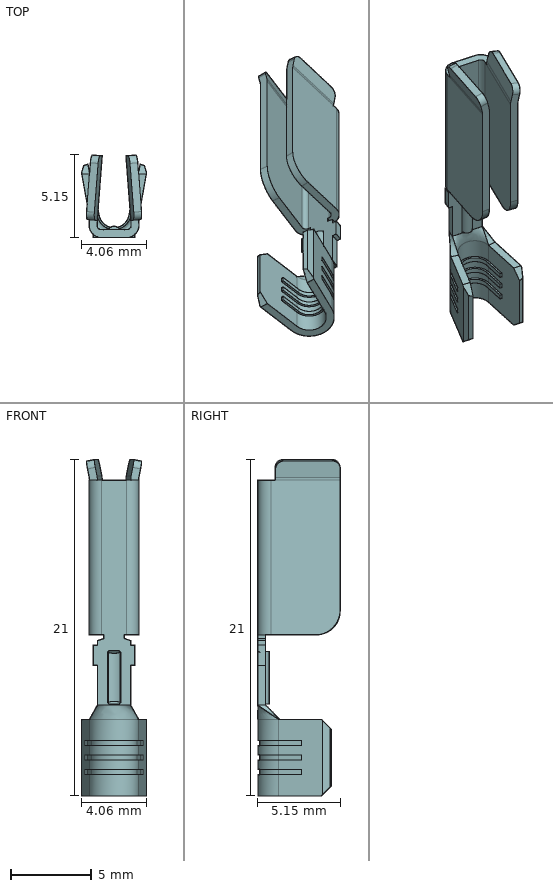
import cadquery as cq
import math


SHEET = 0.50
BIG = 10.0

TRANSITION_BOTTOM = 4.78
TRANSITION_TOP = 5.66
RECEPTACLE_BOTTOM = 10.03
RECEPTACLE_TOP = 19.67
TOTAL_HEIGHT = 20.95

BARREL_RADIUS = 1.56
BARREL_CENTER_Y = BARREL_RADIUS
WING_CORNER = (2.03, 4.04)
WING_TIP = (1.89, 4.49)
WING_TOP = (1.59, 4.59)
WING_CHAMFER = 0.63

SERRATION_DEPTH = 0.12
SERRATION_WIDTH = 0.32
SERRATION_FIRST_Z = 1.50
SERRATION_PITCH = 0.90
SERRATION_COUNT = 3
SERRATION_END_Y = 2.73

STRIP_HALF_WIDTH = 1.04
NECK_HALF_WIDTH = 0.65
NECK_NARROW_BOTTOM = 9.81
NECK_SHOULDER_Z = 9.68
EAR_HALF_WIDTH = 1.30
EAR_BOTTOM = 8.13
EAR_TOP = 9.39

BEAD_BOTTOM = 5.72
BEAD_TOP = 9.06
BEAD_HALF_WIDTH = 0.42
BEAD_FLOOR_HALF_WIDTH = 0.36
BEAD_WALL_DEPTH = 0.14
BEAD_DEPTH = 0.22
BEAD_END_SLOPE = 0.18
BEAD_CORNER = 0.12
BUMP_HALF_WIDTH = 0.36
BUMP_HEIGHT = 0.22
BUMP_TOP = 9.00

RECEPTACLE_HALF_WIDTH = 1.56
BEND_RADIUS = 0.78
BEND_CENTER_X = RECEPTACLE_HALF_WIDTH - BEND_RADIUS
WALL_LEAN = 4.4
WALL_END_Y = 5.09
WALL_CORNER_RADIUS = 1.50

TAB_FLARE = 11.2
TAB_BEND_RADIUS = 0.85
TAB_START_Y = 1.05
TAB_CORNER_RADIUS = 0.50


def barrel_flare():
    """Angle from upright of the wing face: tangent to the barrel, through the wing corner."""
    corner_x = WING_CORNER[0]
    corner_y = WING_CORNER[1] - BARREL_CENTER_Y
    corner_distance = math.hypot(corner_x, corner_y)
    return math.acos(BARREL_RADIUS / corner_distance) - math.atan2(corner_y, corner_x)


FLARE = barrel_flare()


def barrel_tangent(inset):
    """Point on the +X side where the round of the barrel, moved inward, meets its wing."""
    radius = BARREL_RADIUS - inset
    return radius * math.cos(FLARE), BARREL_CENTER_Y - radius * math.sin(FLARE)


def cup(inset, rim):
    """Filled cross-section of the barrel: a round bottom closed over the +X rim points."""
    x, y = barrel_tangent(inset)
    mirrored_rim = [(-px, py) for px, py in reversed(rim)]
    outline = cq.Workplane("XY").moveTo(-x, y).threePointArc((0, inset), (x, y))
    for point in rim + mirrored_rim:
        outline = outline.lineTo(*point)
    return outline.close()


def straight_rim(inset, rim_y):
    """Point at which the wing face, moved inward, reaches the height rim_y."""
    x, y = barrel_tangent(inset)
    return [(x + (rim_y - y) * math.tan(FLARE), rim_y)]


def barrel_band(outer_inset, inner_inset, rim_y, bottom, height):
    """U-shaped band between two offsets of the barrel's outer face."""
    outer = cup(outer_inset, straight_rim(outer_inset, rim_y)).extrude(height)
    inner = cup(inner_inset, straight_rim(inner_inset, rim_y)).extrude(height)
    return outer.cut(inner).translate((0, 0, bottom))


def make_barrel():
    outer = cup(0, [WING_CORNER, WING_TIP, WING_TOP]).extrude(TRANSITION_BOTTOM)
    inner = cup(SHEET, straight_rim(SHEET, BIG)).extrude(TRANSITION_BOTTOM)
    wing_end_y = WING_TOP[1]
    side_outline = (
        cq.Workplane("YZ")
        .rect(2 * wing_end_y, TRANSITION_BOTTOM)
        .extrude(BIG, both=True)
        .edges("|X")
        .chamfer(WING_CHAMFER)
        .translate((0, 0, TRANSITION_BOTTOM / 2))
    )
    barrel = outer.cut(inner).intersect(side_outline)
    for index in range(SERRATION_COUNT):
        bottom = SERRATION_FIRST_Z + index * SERRATION_PITCH - SERRATION_WIDTH / 2
        groove = barrel_band(0, SERRATION_DEPTH, SERRATION_END_Y, bottom, SERRATION_WIDTH)
        rib = barrel_band(SHEET, SHEET + SERRATION_DEPTH, SERRATION_END_Y, bottom, SERRATION_WIDTH)
        barrel = barrel.cut(groove).union(rib)
    return barrel


def make_transition():
    """Ruled blend from the round part of the barrel to the flat strip."""
    outer_x, outer_y = barrel_tangent(0)
    inner_x, inner_y = barrel_tangent(SHEET)
    return (
        cq.Workplane("XY", origin=(0, 0, TRANSITION_BOTTOM))
        .moveTo(-outer_x, outer_y)
        .threePointArc((0, 0), (outer_x, outer_y))
        .lineTo(inner_x, inner_y)
        .threePointArc((0, SHEET), (-inner_x, inner_y))
        .close()
        .workplane(offset=TRANSITION_TOP - TRANSITION_BOTTOM)
        .moveTo(-STRIP_HALF_WIDTH, 0)
        .lineTo(STRIP_HALF_WIDTH, 0)
        .lineTo(STRIP_HALF_WIDTH, SHEET)
        .lineTo(-STRIP_HALF_WIDTH, SHEET)
        .close()
        .loft(ruled=True)
    )


def make_neck():
    half_outline = [
        (0, TRANSITION_TOP),
        (STRIP_HALF_WIDTH, TRANSITION_TOP),
        (STRIP_HALF_WIDTH, EAR_BOTTOM),
        (EAR_HALF_WIDTH, EAR_BOTTOM),
        (EAR_HALF_WIDTH, EAR_TOP),
        (STRIP_HALF_WIDTH, EAR_TOP),
        (STRIP_HALF_WIDTH, NECK_SHOULDER_Z),
        (NECK_HALF_WIDTH, NECK_NARROW_BOTTOM),
        (NECK_HALF_WIDTH, RECEPTACLE_BOTTOM),
        (0, RECEPTACLE_BOTTOM),
    ]
    half = cq.Workplane("XZ").polyline(half_outline).close().extrude(-SHEET)
    return half.union(half.mirror("YZ"))


def bead_bump():
    """Rounded ridge on the inner face of the strip."""
    return (
        cq.Workplane("XY", origin=(0, 0, BEAD_BOTTOM))
        .moveTo(-BUMP_HALF_WIDTH, SHEET)
        .threePointArc((0, SHEET + BUMP_HEIGHT), (BUMP_HALF_WIDTH, SHEET))
        .close()
        .extrude(BUMP_TOP - BEAD_BOTTOM)
    )


def bead_groove():
    """Round-bottomed recess in the outer face of the strip, with sloped ends."""
    length = BEAD_TOP - BEAD_BOTTOM
    channel = (
        cq.Workplane("XY", origin=(0, 0, BEAD_BOTTOM))
        .moveTo(-BEAD_HALF_WIDTH, 0)
        .lineTo(-BEAD_FLOOR_HALF_WIDTH, BEAD_WALL_DEPTH)
        .threePointArc((0, BEAD_DEPTH), (BEAD_FLOOR_HALF_WIDTH, BEAD_WALL_DEPTH))
        .lineTo(BEAD_HALF_WIDTH, 0)
        .close()
        .extrude(length)
    )
    sloped_ends = (
        cq.Workplane("YZ")
        .moveTo(0, BEAD_BOTTOM)
        .lineTo(BEAD_DEPTH, BEAD_BOTTOM + BEAD_END_SLOPE)
        .lineTo(BEAD_DEPTH, BEAD_TOP - BEAD_END_SLOPE)
        .lineTo(0, BEAD_TOP)
        .close()
        .extrude(BIG, both=True)
    )
    cut_corners = (
        cq.Workplane("XY")
        .box(2 * BEAD_HALF_WIDTH, 2 * SHEET, length)
        .edges("|Y")
        .chamfer(BEAD_CORNER)
        .translate((0, 0, BEAD_BOTTOM + length / 2))
    )
    return channel.intersect(sloped_ends).intersect(cut_corners)


def lean(shape):
    """Turn a wall standing upright on the +X bend to its leaning position."""
    pivot = (BEND_CENTER_X, BEND_RADIUS)
    return shape.rotate((*pivot, 0), (*pivot, 1), WALL_LEAN)


def make_bend():
    """Rounded corner between the receptacle floor and its +X wall."""
    start = math.radians(-90)
    end = math.radians(WALL_LEAN)
    middle = (start + end) / 2
    inner_radius = BEND_RADIUS - SHEET

    def on_bend(radius, angle):
        return BEND_CENTER_X + radius * math.cos(angle), BEND_RADIUS + radius * math.sin(angle)

    return (
        cq.Workplane("XY", origin=(0, 0, RECEPTACLE_BOTTOM))
        .moveTo(*on_bend(BEND_RADIUS, start))
        .threePointArc(on_bend(BEND_RADIUS, middle), on_bend(BEND_RADIUS, end))
        .lineTo(*on_bend(inner_radius, end))
        .threePointArc(on_bend(inner_radius, middle), on_bend(inner_radius, start))
        .close()
        .extrude(RECEPTACLE_TOP - RECEPTACLE_BOTTOM)
    )


def make_tab(inner_x):
    """Tab bent outwards from the top of the +X wall, whose inner face lies at inner_x."""
    flare = math.radians(TAB_FLARE)
    bend_center_x = inner_x + SHEET + TAB_BEND_RADIUS
    inner_bend_radius = TAB_BEND_RADIUS + SHEET

    def on_bend(radius, angle):
        return bend_center_x - radius * math.cos(angle), RECEPTACLE_TOP + radius * math.sin(angle)

    bend_end_x, bend_end_z = on_bend(inner_bend_radius, flare)
    tip_x = bend_end_x + (TOTAL_HEIGHT - bend_end_z) * math.tan(flare)
    return (
        cq.Workplane("XZ", origin=(0, TAB_START_Y, 0))
        .moveTo(inner_x, RECEPTACLE_TOP)
        .threePointArc(on_bend(inner_bend_radius, flare / 2), (bend_end_x, bend_end_z))
        .lineTo(tip_x, TOTAL_HEIGHT)
        .line(SHEET * math.cos(flare), -SHEET * math.sin(flare))
        .lineTo(*on_bend(TAB_BEND_RADIUS, flare))
        .threePointArc(on_bend(TAB_BEND_RADIUS, flare / 2), (inner_x + SHEET, RECEPTACLE_TOP))
        .close()
        .extrude(TAB_START_Y - WALL_END_Y)
        .edges(cq.selectors.ParallelDirSelector(cq.Vector(math.cos(flare), 0, -math.sin(flare))))
        .fillet(TAB_CORNER_RADIUS)
    )


def make_wall():
    """Upright +X wall of the receptacle with its flared tab."""
    inner_x = RECEPTACLE_HALF_WIDTH - SHEET
    wall_plate = (
        cq.Workplane("XY")
        .box(SHEET, WALL_END_Y - BEND_RADIUS, RECEPTACLE_TOP - RECEPTACLE_BOTTOM, centered=False)
        .translate((inner_x, BEND_RADIUS, RECEPTACLE_BOTTOM))
        .edges(">Y and <Z")
        .fillet(WALL_CORNER_RADIUS)
    )
    return wall_plate.union(make_tab(inner_x))


def make_receptacle():
    floor = (
        cq.Workplane("XY")
        .box(2 * BEND_CENTER_X, SHEET, RECEPTACLE_TOP - RECEPTACLE_BOTTOM, centered=(True, False, False))
        .translate((0, 0, RECEPTACLE_BOTTOM))
    )
    side = make_bend().union(lean(make_wall()))
    return floor.union(side).union(side.mirror("YZ"))


result = (
    make_barrel()
    .union(make_transition())
    .union(make_neck())
    .union(make_receptacle())
    .union(bead_bump())
    .cut(bead_groove())
)